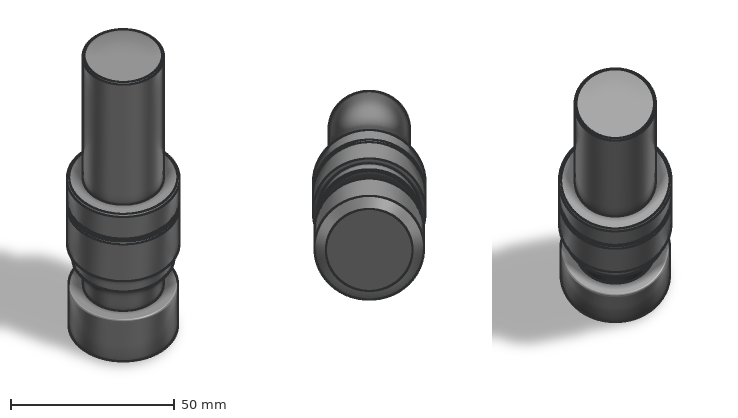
import cadquery as cq

total_height = 114.5

head_diameter = 33.7
head_top = 19.1
head_base_chamfer_width = 3.5
head_base_chamfer_height = 2.1
head_top_fillet = 0.8

neck_diameter = 24.8
shank_diameter = 25.0
shank_chamfer = 0.6

step_diameter = 31.5
step_bottom = 29.9
step_chamfer = 0.5
collar_diameter = 34.6
collar_bottom = 36.1
collar_top = 63.7
collar_chamfer = 0.7

groove_diameter = 32.5
groove_bottom = 51.5
groove_top = 53.9
groove_upper_slope = 1.0
groove_lower_chamfer = 0.6

head_radius = head_diameter / 2
neck_radius = neck_diameter / 2
shank_radius = shank_diameter / 2
step_radius = step_diameter / 2
collar_radius = collar_diameter / 2
groove_radius = groove_diameter / 2
groove_floor_bottom = groove_bottom + groove_lower_chamfer

profile = (
    cq.Workplane("XZ")
    .lineTo(head_radius - head_base_chamfer_width, 0)
    .lineTo(head_radius, head_base_chamfer_height)
    .lineTo(head_radius, head_top - head_top_fillet)
    .radiusArc((head_radius - head_top_fillet, head_top), -head_top_fillet)
    .lineTo(neck_radius, head_top)
    .lineTo(neck_radius, step_bottom)
    .lineTo(step_radius - step_chamfer, step_bottom)
    .lineTo(step_radius, step_bottom + step_chamfer)
    .lineTo(step_radius, collar_bottom)
    .lineTo(collar_radius, collar_bottom)
    .lineTo(collar_radius, groove_bottom)
    .lineTo(collar_radius - groove_lower_chamfer, groove_floor_bottom)
    .lineTo(groove_radius, groove_floor_bottom)
    .lineTo(groove_radius, groove_top - groove_upper_slope)
    .lineTo(collar_radius, groove_top)
    .lineTo(collar_radius, collar_top - collar_chamfer)
    .lineTo(collar_radius - collar_chamfer, collar_top)
    .lineTo(shank_radius, collar_top)
    .lineTo(shank_radius, total_height - shank_chamfer)
    .lineTo(shank_radius - shank_chamfer, total_height)
    .lineTo(0, total_height)
    .close()
)

result = profile.revolve(360, (0, 0, 0), (0, 1, 0))